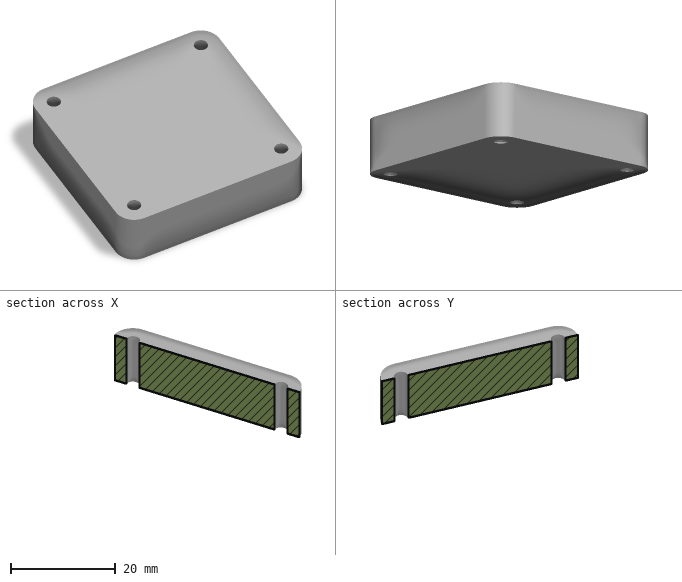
import cadquery as cq

side = 40.0
height = 10.7
corner_radius = 4.0

hole_diameter = 2.7
hole_spacing = side - 2 * corner_radius

block = (
    cq.Workplane("XY")
    .box(side, side, height, centered=(True, True, False))
    .edges("|Z")
    .fillet(corner_radius)
)

result = (
    block.faces(">Z")
    .workplane()
    .rect(hole_spacing, hole_spacing, forConstruction=True)
    .vertices()
    .hole(hole_diameter)
)